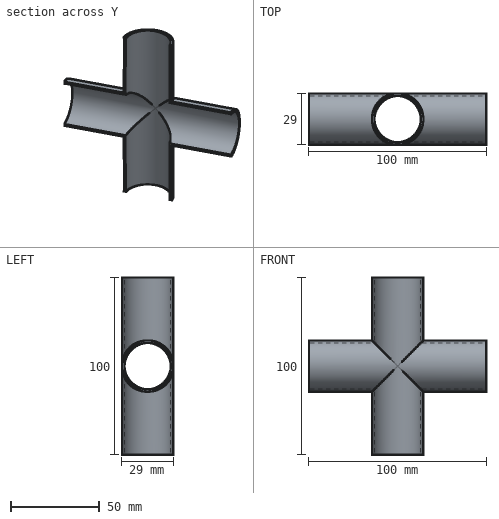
import cadquery as cq

length = 100.0
outer_diameter = 29.0
bore_diameter = 26.0


def crossed_cylinders(diameter):
    """Two full-length cylinders, along X and along Z, crossing at the centre."""
    run = cq.Workplane("YZ").circle(diameter / 2).extrude(length / 2, both=True)
    branch = cq.Workplane("XY").circle(diameter / 2).extrude(length / 2, both=True)
    return run.union(branch)


result = crossed_cylinders(outer_diameter).cut(crossed_cylinders(bore_diameter))